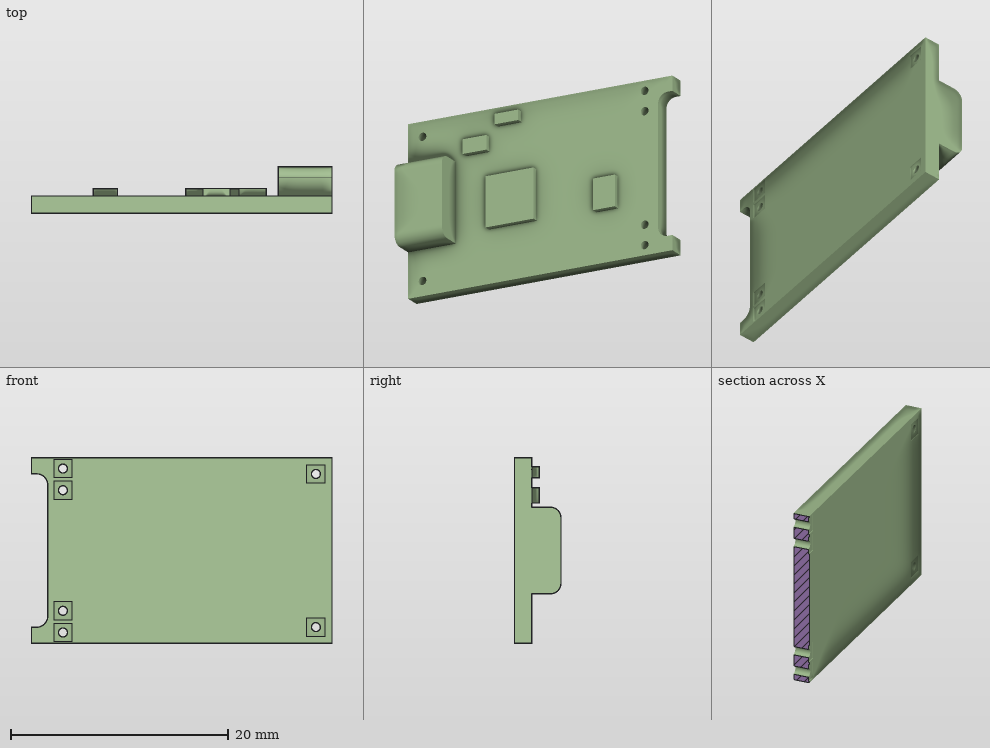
import cadquery as cq

BOARD_LENGTH = 27.7
BOARD_HEIGHT = 17.1
TOTAL_DEPTH = 4.3
BOARD_THICKNESS = 1.6

NOTCH_DEPTH = 1.5
PRONG_HEIGHT = 1.5
NOTCH_RADIUS = 1.0

PAD_SIZE = 1.7
PAD_RECESS = 0.08
HOLE_DIAMETER = 0.8
LEFT_PAD_INSET = 2.9
LEFT_PAD_EDGE_GAP = 1.0
LEFT_PAD_PITCH = 2.0
RIGHT_PAD_INSET = 1.5
RIGHT_PAD_EDGE_GAP = 1.5

CONNECTOR_LENGTH = 4.99
CONNECTOR_HEIGHT = 8.0
CONNECTOR_RADIUS = 1.0

CHIP_DEPTH = 0.66
REGULATOR_X = 5.68
REGULATOR_LENGTH = 2.27
REGULATOR_DROP = 8.92
REGULATOR_HEIGHT = 3.1
PROCESSOR_X = 14.2
PROCESSOR_DROP = 6.75
PROCESSOR_SIZE = 5.0

CAPACITOR_DEPTH = 0.7
CAPACITOR_LENGTH = 2.5
SLIM_CAPACITOR_X = 15.8
SLIM_CAPACITOR_DROP = 0.83
SLIM_CAPACITOR_HEIGHT = 1.02
WIDE_CAPACITOR_X = 19.15
WIDE_CAPACITOR_DROP = 2.75
WIDE_CAPACITOR_HEIGHT = 1.45


def box(x, y, z, length, depth, height):
    """Box placed by its minimum corner."""
    return cq.Workplane("XY").box(length, depth, height, centered=False).translate((x, y, z))


def make_board():
    board = box(0, 0, 0, BOARD_LENGTH, BOARD_THICKNESS, BOARD_HEIGHT)
    notch_height = BOARD_HEIGHT - 2 * PRONG_HEIGHT
    notch = box(0, 0, PRONG_HEIGHT, NOTCH_DEPTH, BOARD_THICKNESS, notch_height)
    notch = notch.edges("|Y and >X").fillet(NOTCH_RADIUS)
    return board.cut(notch)


def pad_centres():
    """Centres (x, z) of the pads, mirrored about mid-height."""
    right_x = BOARD_LENGTH - RIGHT_PAD_INSET
    lower_pads = [
        (LEFT_PAD_INSET, LEFT_PAD_EDGE_GAP),
        (LEFT_PAD_INSET, LEFT_PAD_EDGE_GAP + LEFT_PAD_PITCH),
        (right_x, RIGHT_PAD_EDGE_GAP),
    ]
    upper_pads = [(x, BOARD_HEIGHT - z) for x, z in lower_pads]
    return lower_pads + upper_pads


def cut_pads(board):
    front = cq.Workplane("XZ").pushPoints(pad_centres())
    recesses = front.rect(PAD_SIZE, PAD_SIZE).extrude(-PAD_RECESS)
    holes = front.circle(HOLE_DIAMETER / 2).extrude(-BOARD_THICKNESS)
    return board.cut(recesses).cut(holes)


def make_connector():
    x = BOARD_LENGTH - CONNECTOR_LENGTH
    z = (BOARD_HEIGHT - CONNECTOR_HEIGHT) / 2
    depth = TOTAL_DEPTH - BOARD_THICKNESS
    connector = box(x, BOARD_THICKNESS, z, CONNECTOR_LENGTH, depth, CONNECTOR_HEIGHT)
    return connector.edges("|X and >Y").fillet(CONNECTOR_RADIUS)


def make_component(x, drop, length, height, depth):
    """Rectangular component standing on the back face of the board."""
    z = BOARD_HEIGHT - drop - height
    return box(x, BOARD_THICKNESS, z, length, depth, height)


components = [
    make_component(REGULATOR_X, REGULATOR_DROP, REGULATOR_LENGTH, REGULATOR_HEIGHT, CHIP_DEPTH),
    make_component(PROCESSOR_X, PROCESSOR_DROP, PROCESSOR_SIZE, PROCESSOR_SIZE, CHIP_DEPTH),
    make_component(
        SLIM_CAPACITOR_X, SLIM_CAPACITOR_DROP, CAPACITOR_LENGTH, SLIM_CAPACITOR_HEIGHT, CAPACITOR_DEPTH
    ),
    make_component(
        WIDE_CAPACITOR_X, WIDE_CAPACITOR_DROP, CAPACITOR_LENGTH, WIDE_CAPACITOR_HEIGHT, CAPACITOR_DEPTH
    ),
]

result = cut_pads(make_board()).union(make_connector())
for component in components:
    result = result.union(component)